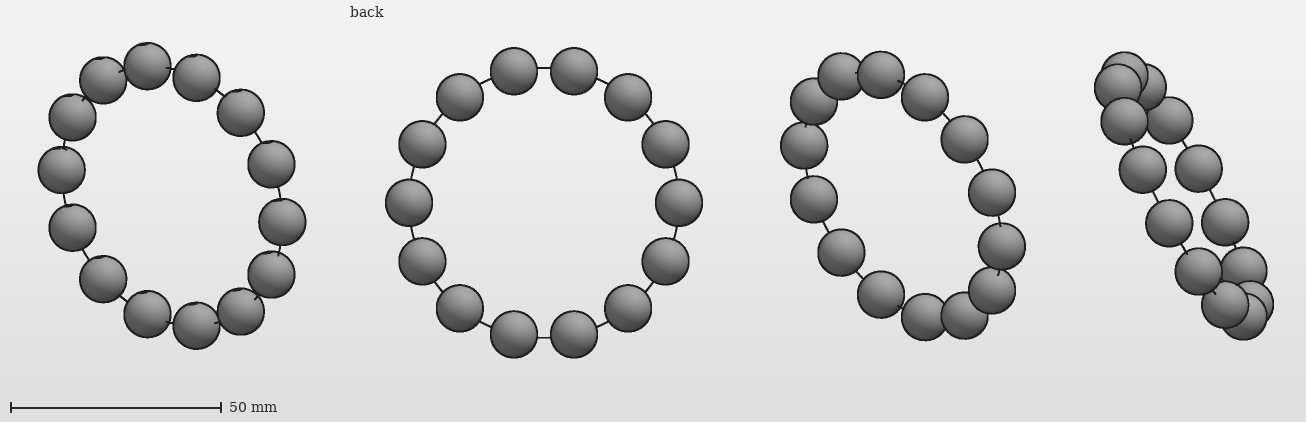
import cadquery as cq
import math

OUTER_DIAMETER = 75.1
BEAD_COUNT = 14
BEAD_DIAMETER = 11.1
WIRE_DIAMETER = 0.1

ring_radius = (OUTER_DIAMETER - BEAD_DIAMETER) / 2


def make_wire():
    """Thin closed ring around the Y axis that joins the bead centres."""
    return cq.Workplane(
        cq.Solid.makeTorus(
            ring_radius, WIRE_DIAMETER / 2, cq.Vector(0, 0, 0), cq.Vector(0, 1, 0)
        )
    )


def make_bead(angle):
    """Ball centred on the ring, with its poles facing along Y."""
    x = ring_radius * math.cos(angle)
    z = ring_radius * math.sin(angle)
    ball = cq.Solid.makeSphere(
        BEAD_DIAMETER / 2, cq.Vector(0, 0, 0), cq.Vector(0, 1, 0), -90, 90, 360
    )
    return ball.translate(cq.Vector(x, 0, z))


result = make_wire()
for index in range(BEAD_COUNT):
    result = result.union(make_bead(2 * math.pi * index / BEAD_COUNT))